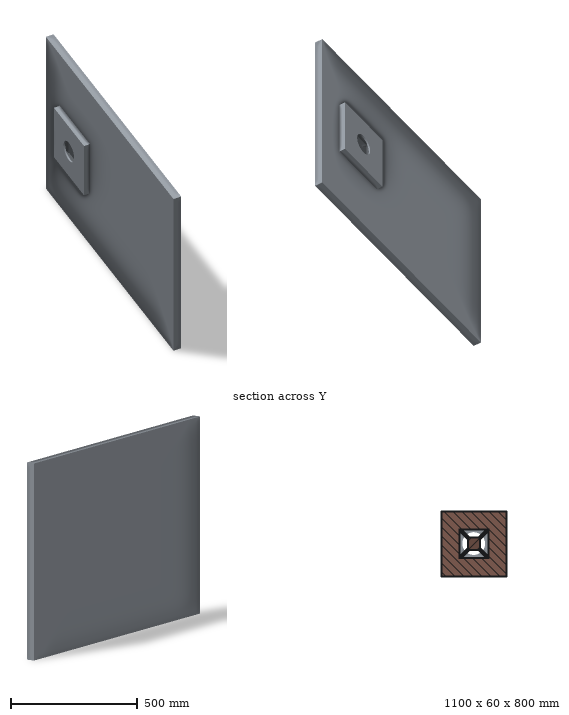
import cadquery as cq
import math

tray_width = 1100
tray_height = 800.0
overall_depth = 60.0
cover_thickness = 26.0
tray_thickness = overall_depth - cover_thickness

cover_side = 260.0
cover_center_x = 250.0
cover_center_z = tray_height / 2
cover_front_wall = 7.0
hole_diameter = 90.0
cavity_side = 112.0
cavity_depth = cover_thickness - cover_front_wall

insert_thickness = 3.0
insert_square = 51.0
arm_width = 9.0
arm_length = cavity_side * math.sqrt(2)


def front_plane():
    """XZ plane on the tray face, centred on the cover; extrusions run toward -Y."""
    return cq.Workplane("XZ", origin=(cover_center_x, 0, cover_center_z))


def make_tray():
    return cq.Workplane("XY").box(tray_width, tray_thickness, tray_height, centered=False)


def make_cover():
    block = front_plane().rect(cover_side, cover_side).extrude(cover_thickness)
    cavity = front_plane().rect(cavity_side, cavity_side).extrude(cavity_depth)
    hole = front_plane().circle(hole_diameter / 2).extrude(cover_thickness)
    return block.cut(cavity).cut(hole)


def make_cross_insert():
    insert = front_plane().rect(insert_square, insert_square).extrude(insert_thickness)
    for angle in (45, -45):
        arm = front_plane().transformed(rotate=(0, 0, angle)).rect(arm_length, arm_width)
        insert = insert.union(arm.extrude(insert_thickness))
    cavity_outline = front_plane().rect(cavity_side, cavity_side).extrude(insert_thickness)
    return insert.intersect(cavity_outline)


tray = make_tray()
cover = make_cover()
cross_insert = make_cross_insert()

result = cq.Compound.makeCompound([tray.val(), cover.val(), cross_insert.val()])